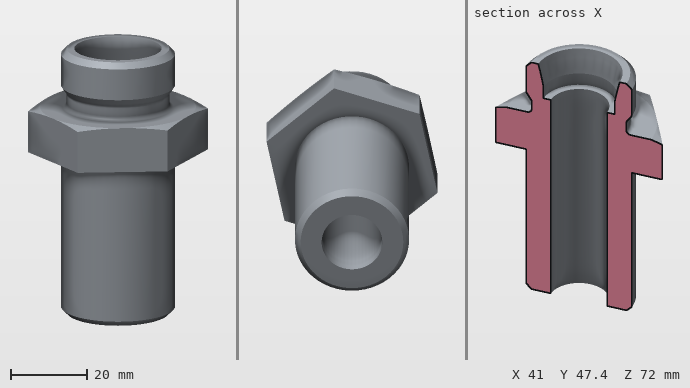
import cadquery as cq
import math

total_height = 72.0
hex_bottom = 44.0
hex_top = 56.0

body_radius = 30.0 / 2
end_chamfer = 1.5
hex_across_flats = 41.05
hex_chamfer_angle = 15.0

undercut_radius = 27.0 / 2
undercut_fillet = 1.15
undercut_top = 59.8
thread_bottom = 62.1

bore_radius = 16.0 / 2
seat_radius = 20.0 / 2
cone_mouth_radius = 23.0 / 2
cone_half_angle = 12.0
seat_depth = 10.5

hex_flat_radius = hex_across_flats / 2
hex_corner_radius = hex_flat_radius / math.cos(math.radians(30))
cone_depth = (cone_mouth_radius - seat_radius) / math.tan(math.radians(cone_half_angle))

relief_angle = math.atan2(body_radius - undercut_radius, thread_bottom - undercut_top)
relief_tangent = undercut_fillet * math.tan(relief_angle / 2)


def revolve_profile(profile):
    """Turn a radius-height profile around the Z axis."""
    return profile.close().revolve(360, (0, 0, 0), (0, 1, 0))


def make_turned_body():
    """Tube end, undercut and threaded end as one turned solid."""
    chamfered_radius = body_radius - end_chamfer
    relief_end = (
        undercut_radius + relief_tangent * math.sin(relief_angle),
        undercut_top + relief_tangent * math.cos(relief_angle),
    )
    profile = (
        cq.Workplane("XZ")
        .lineTo(chamfered_radius, 0)
        .lineTo(body_radius, end_chamfer)
        .lineTo(body_radius, hex_bottom)
        .lineTo(undercut_radius + undercut_fillet, hex_bottom)
        .lineTo(undercut_radius + undercut_fillet, hex_top)
        .radiusArc((undercut_radius, hex_top + undercut_fillet), undercut_fillet)
        .lineTo(undercut_radius, undercut_top - relief_tangent)
        .radiusArc(relief_end, undercut_fillet)
        .lineTo(body_radius, thread_bottom)
        .lineTo(body_radius, total_height - end_chamfer)
        .lineTo(chamfered_radius, total_height)
        .lineTo(0, total_height)
    )
    return revolve_profile(profile)


def make_hexagon():
    """Hexagon with flats facing +X and -X and its top corners turned off."""
    hexagon = (
        cq.Workplane("XY")
        .workplane(offset=hex_bottom)
        .polygon(6, 2 * hex_corner_radius)
        .extrude(hex_top - hex_bottom)
        .rotate((0, 0, 0), (0, 0, 1), 30)
    )
    corner_drop = (hex_corner_radius - hex_flat_radius) * math.tan(math.radians(hex_chamfer_angle))
    envelope = (
        cq.Workplane("XZ")
        .moveTo(0, hex_bottom)
        .lineTo(hex_corner_radius, hex_bottom)
        .lineTo(hex_corner_radius, hex_top - corner_drop)
        .lineTo(hex_flat_radius, hex_top)
        .lineTo(0, hex_top)
    )
    return hexagon.intersect(revolve_profile(envelope))


def make_bore():
    """Through bore with a cylindrical seat and a cone opening at the top."""
    seat_height = total_height - seat_depth
    profile = (
        cq.Workplane("XZ")
        .lineTo(bore_radius, 0)
        .lineTo(bore_radius, seat_height)
        .lineTo(seat_radius, seat_height)
        .lineTo(seat_radius, total_height - cone_depth)
        .lineTo(cone_mouth_radius, total_height)
        .lineTo(0, total_height)
    )
    return revolve_profile(profile)


result = make_turned_body().union(make_hexagon()).cut(make_bore())